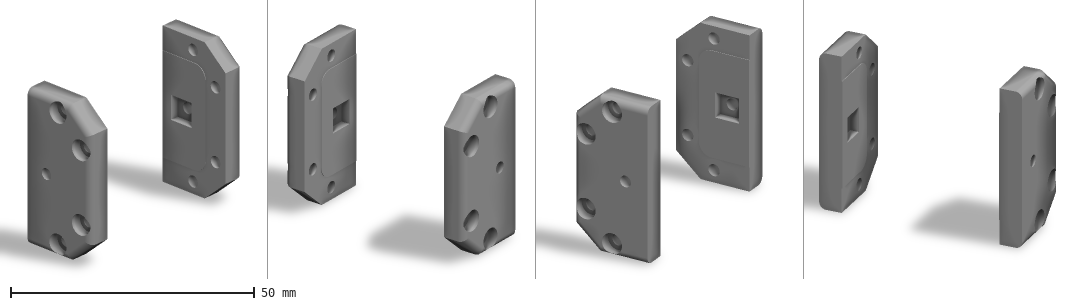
import cadquery as cq

SPAN_Y = 46.0
WIDTH = 17.6
HEIGHT = 35.6
THICKNESS = 5.1
EDGE_RADIUS = 1.5

CORNER_X = 11.75
CORNER_DROP = 5.2

PAD_WIDTH = 12.05
PAD_HEIGHT = 24.4
PAD_RISE = 0.15
PAD_RADIUS = 3.0

SCREW_POSITIONS = [(8.5, 15.0), (14.8, 8.5)]
SCREW_DIAMETER = 2.7
HEAD_DIAMETER = 4.8
HEAD_DEPTH = 2.45

CENTER_X = 5.3
CENTER_DIAMETER = 2.6
POCKET_SIZE = 5.7
POCKET_DEPTH = 2.02

INNER_Y = THICKNESS + PAD_RISE


def section_at(y):
    """XZ sketch plane whose extrusions run toward +Y."""
    return cq.Workplane(cq.Plane((0, y, 0), xDir=(1, 0, 0), normal=(0, -1, 0)))


def make_blank():
    """Plate with cut corners, rounded along the outer rim except at the flat X = 0 end."""
    half = HEIGHT / 2
    blank = (
        section_at(0)
        .moveTo(0, -half)
        .lineTo(CORNER_X, -half)
        .lineTo(WIDTH, -half + CORNER_DROP)
        .lineTo(WIDTH, half - CORNER_DROP)
        .lineTo(CORNER_X, half)
        .lineTo(0, half)
        .close()
        .extrude(-THICKNESS)
    )
    return blank.faces("<Y").edges("not <X").fillet(EDGE_RADIUS)


def make_pad():
    """Low pad flush with the X = 0 end and rounded at its two free corners."""
    return (
        section_at(THICKNESS)
        .center(PAD_WIDTH / 2, 0)
        .rect(PAD_WIDTH, PAD_HEIGHT)
        .extrude(-PAD_RISE)
        .edges("|Y and >X")
        .fillet(PAD_RADIUS)
    )


def make_screw_holes():
    """Through holes with head recesses, mirrored about mid-height."""
    points = [(x, side * z) for x, z in SCREW_POSITIONS for side in (-1, 1)]
    shanks = section_at(0).pushPoints(points).circle(SCREW_DIAMETER / 2).extrude(-INNER_Y)
    heads = section_at(0).pushPoints(points).circle(HEAD_DIAMETER / 2).extrude(-HEAD_DEPTH)
    return shanks.union(heads)


def make_center_cut():
    """Round hole from the outer face meeting the square pocket of the inner face."""
    hole = section_at(0).center(CENTER_X, 0).circle(CENTER_DIAMETER / 2).extrude(-INNER_Y)
    pocket = section_at(INNER_Y).center(CENTER_X, 0).rect(POCKET_SIZE, POCKET_SIZE).extrude(POCKET_DEPTH)
    return hole.union(pocket)


def make_plate():
    """Complete plate with its outer face at Y = 0."""
    return make_blank().union(make_pad()).cut(make_screw_holes()).cut(make_center_cut())


plates = []
for side in (-1, 1):
    plate = make_plate().translate((0, -SPAN_Y / 2, 0))
    if side > 0:
        plate = plate.mirror("XZ")
    plates.append(plate.val())

result = cq.Compound.makeCompound(plates)